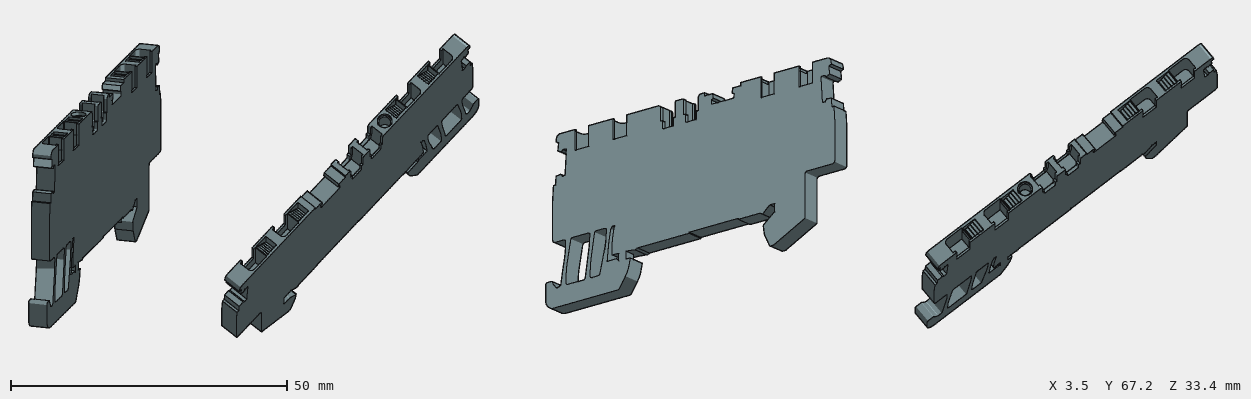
import cadquery as cq
import math


THICKNESS = 3.5
HEIGHT = 33.4
TOTAL_LENGTH = 67.2
HOUSING_HALF = 32.8
HOUSING_BOTTOM = 12.6
RAIL_SEAT = 7.05
FOOT_END = HOUSING_HALF - TOTAL_LENGTH
OVERLAP = 0.7
STEP_DEPTH = 1.3

NOTCH_CENTRE = 6.7
NOTCH_LEDGE_HALF = 4.15
NOTCH_LEDGE_DEPTH = 0.6
NOTCH_MOUTH_HALF = 2.35
NOTCH_NECK_HALF = 2.15
NOTCH_NECK_DEPTH = 1.55
NOTCH_FLOOR_HALF = 2.6
NOTCH_DEPTH = 2.6
NOTCH_CORNER = 0.3

BRIDGE_CENTRES = (-0.64, -6.0)
BRIDGE_HALF = 1.7
BRIDGE_FLOOR_HALF = 1.3
BRIDGE_SHOULDER_DEPTH = 3.1
BRIDGE_DEPTH = 4.7
BRIDGE_CORNER = 0.3
BRIDGE_RECESS = 0.4
BRIDGE_FLOOR_RECESS = 0.2
BRIDGE_NEAR_RIM = 0.4
BRIDGE_FAR_RIM = 0.7
POST_TOP_RADII = (0.7, 0.3, 0.3, 0.6)

WIRE_STARTS = (15.05, 23.9)
WIRE_LENGTH = 4.15
WIRE_DEPTH = 6.7
WIRE_WALL = 0.4
WIRE_CORNER = 0.8
WIRE_OPENING_MARGIN = 0.55
WIRE_OPENING_DEPTH = 4.0
CLAMP_LENGTH = 2.75
CLAMP_GAP = 0.15
CLAMP_WALL = 0.55
CLAMP_STEPS = 5
CLAMP_STEP_HEIGHT = 0.5

TEST_HOLE_Y = -10.35
TEST_HOLE_RADIUS = 1.1
TEST_HOLE_DEPTH = 4.0
TEST_MOUTH_RADIUS = 1.35
TEST_MOUTH_DEPTH = 0.7

LEG_WINDOW_EDGES = (
    ((-20.2, -20.4, -21.8), (-23.0, -23.9, -24.1)),
    ((-24.05, -24.3, -25.25), (-28.5, -29.55, -29.7)),
)
WINDOW_FLOOR = 3.8
WINDOW_CORNER = 0.5
LEG_BEND = 16.8


def rounded_prism(corners, start=0.0, end=THICKNESS):
    """Extrude along X a closed outline of (y, z) or (y, z, corner radius)."""
    count = len(corners)
    path = []
    for i, corner in enumerate(corners):
        here = cq.Vector(corner[0], corner[1])
        if len(corner) < 3:
            path.append((here,))
            continue
        radius = corner[2]
        before = cq.Vector(*corners[i - 1][:2])
        after = cq.Vector(*corners[(i + 1) % count][:2])
        to_before = (before - here).normalized()
        to_after = (after - here).normalized()
        half_angle = to_before.getAngle(to_after) / 2
        setback = radius / math.tan(half_angle)
        bulge = radius / math.sin(half_angle) - radius
        middle = here + (to_before + to_after).normalized() * bulge
        path.append((here + to_before * setback, middle, here + to_after * setback))
    sketch = cq.Workplane("YZ", origin=(start, 0, 0)).moveTo(path[0][-1].x, path[0][-1].y)
    for stop in path[1:] + path[:1]:
        sketch = sketch.lineTo(stop[0].x, stop[0].y)
        if len(stop) == 3:
            sketch = sketch.threePointArc(stop[1].toTuple()[:2], stop[2].toTuple()[:2])
    return sketch.close().extrude(end - start)


def box(x_range, y_range, z_range):
    size = [high - low for low, high in (x_range, y_range, z_range)]
    corner = (x_range[0], y_range[0], z_range[0])
    return cq.Workplane("XY", origin=corner).box(*size, centered=False)


def housing():
    """Symmetric upper body with a latch groove in each end."""
    end = [
        (31.85, HEIGHT, 0.95),
        (32.0, 32.0),
        (31.4, 31.7),
        (31.6, 30.15),
        (30.7, 29.75),
        (30.35, 30.15),
        (29.55, 30.15, 0.3),
        (29.9, 25.1),
        (30.5, 25.0),
        (30.9, 25.5),
        (32.0, 25.4),
        (32.1, 23.7),
        (32.6, 23.7),
        (HOUSING_HALF, 20.8),
        (HOUSING_HALF, HOUSING_BOTTOM, 0.6),
    ]
    other_end = [(-corner[0],) + corner[1:] for corner in reversed(end)]
    return rounded_prism(end + other_end)


def rail_block():
    """Lower middle of the block with the fixed rail hook at its +Y end."""
    leg = 25.85
    seat_relief = (10.35, -1.1)
    relief_top = 7.25
    block = rounded_prism([
        (leg + 2 * OVERLAP, HOUSING_BOTTOM + OVERLAP),
        (leg + 2 * OVERLAP, HOUSING_BOTTOM),
        (leg, HOUSING_BOTTOM, 0.505),
        (leg, 3.6, 0.3),
        (18.55, 0.15, 0.35),
        (17.65, 0.15, 0.3),
        (16.4, 2.7),
        (16.1, 4.6, 0.4),
        (18.75, 6.5),
        (18.75, 8.1),
        (17.65, 8.1),
        (16.0, 6.7),
        (15.45, RAIL_SEAT),
        (seat_relief[0], RAIL_SEAT),
        (seat_relief[0], relief_top),
        (seat_relief[1], relief_top),
        (seat_relief[1], RAIL_SEAT),
        (-13.0, RAIL_SEAT),
        (-13.6, 6.8),
        (-14.1, 6.9),
        (-15.7, RAIL_SEAT),
        (-19.0, RAIL_SEAT, 0.2),
        (-19.0, 9.4, LEG_BEND),
        (-18.4, HOUSING_BOTTOM),
        (-18.4, HOUSING_BOTTOM + OVERLAP),
    ])
    hook_step = rounded_prism([
        (19.6, 8.1, 0.2),
        (19.6, 5.45, 0.3),
        (18.0, 5.45, 0.35),
        (16.25, 4.1),
        (15.7, 4.7),
        (17.65, 8.1),
    ], end=STEP_DEPTH)
    return block.cut(hook_step)


def clip_foot():
    """Sprung foot hanging on three slanted legs, with a tie to the rail block."""
    tie_span = (-17.45, -15.7)
    tie_bottom = 5.05
    foot = rounded_prism([
        (-18.9, HOUSING_BOTTOM + OVERLAP),
        (-18.9, HOUSING_BOTTOM),
        (-19.3, 12.1, 0.35),
        (-19.75, 9.4, LEG_BEND),
        (-20.1, 6.1),
        (-17.9, 6.1),
        (-17.45, 5.65),
        (-14.7, 5.5),
        (-15.25, 3.1, 5.4),
        (-17.4, 0.0, 0.55),
        (FOOT_END, 0.0, 1.9),
        (FOOT_END, 5.3, 0.5),
        (-32.85, 5.3, 0.3),
        (-32.65, 4.7, 0.35),
        (-31.85, 3.7, 0.5),
        (-30.9, 3.95, 0.55),
        (-30.5, 6.5),
        (-29.75, 10.4, LEG_BEND),
        (-29.75, HOUSING_BOTTOM, 0.5),
        (-30.9, HOUSING_BOTTOM),
        (-30.9, HOUSING_BOTTOM + OVERLAP),
    ])
    tie = box((STEP_DEPTH, THICKNESS), tie_span, (tie_bottom, RAIL_SEAT + OVERLAP))
    return foot.union(tie)


def leg_window(inner_edge, outer_edge):
    """Window between two legs; each edge is its y at the top, its bend and the floor."""
    inner_top, inner_bend, inner_floor = inner_edge
    outer_top, outer_bend, outer_floor = outer_edge
    inner_bend_height = 9.8
    outer_bend_height = 7.05
    return rounded_prism([
        (inner_top, HOUSING_BOTTOM, WINDOW_CORNER),
        (inner_bend, inner_bend_height, LEG_BEND),
        (inner_floor, WINDOW_FLOOR, WINDOW_CORNER),
        (outer_floor, WINDOW_FLOOR, WINDOW_CORNER),
        (outer_bend, outer_bend_height, LEG_BEND),
        (outer_top, HOUSING_BOTTOM, WINDOW_CORNER),
    ])


def symmetric_slot(centre, half, start=0.0, end=THICKNESS):
    """Slot along X from the outline of its half, listed from the top down to the floor."""
    one_side = [(centre + c[0],) + c[1:] for c in half]
    other_side = [(centre - c[0],) + c[1:] for c in reversed(half)]
    return rounded_prism(one_side + other_side, start, end)


def marking_notch():
    return symmetric_slot(NOTCH_CENTRE, [
        (NOTCH_LEDGE_HALF, HEIGHT + OVERLAP),
        (NOTCH_LEDGE_HALF, HEIGHT - NOTCH_LEDGE_DEPTH),
        (NOTCH_MOUTH_HALF, HEIGHT - NOTCH_LEDGE_DEPTH),
        (NOTCH_NECK_HALF, HEIGHT - NOTCH_NECK_DEPTH),
        (NOTCH_FLOOR_HALF, HEIGHT - NOTCH_NECK_DEPTH - NOTCH_CORNER),
        (NOTCH_FLOOR_HALF, HEIGHT - NOTCH_DEPTH, NOTCH_CORNER),
    ])


def bridge_slot(centre):
    """Slot through the full thickness with a shoulder part way down."""
    return symmetric_slot(centre, [
        (BRIDGE_HALF, HEIGHT + OVERLAP),
        (BRIDGE_HALF, HEIGHT - BRIDGE_SHOULDER_DEPTH),
        (BRIDGE_FLOOR_HALF, HEIGHT - BRIDGE_SHOULDER_DEPTH),
        (BRIDGE_FLOOR_HALF, HEIGHT - BRIDGE_DEPTH, BRIDGE_CORNER),
    ])


def bridge_recess(centre):
    """Tapered widening of a bridge slot that leaves a rim at both X faces."""
    half = [
        (BRIDGE_HALF + BRIDGE_RECESS, HEIGHT + OVERLAP),
        (BRIDGE_HALF + BRIDGE_RECESS, HEIGHT - BRIDGE_SHOULDER_DEPTH),
        (BRIDGE_HALF, HEIGHT - BRIDGE_DEPTH - BRIDGE_FLOOR_RECESS),
    ]
    return symmetric_slot(centre, half, BRIDGE_NEAR_RIM, THICKNESS - BRIDGE_FAR_RIM)


def round_post_tops(body):
    """Round the top edges beside the bridge slots, from +Y to -Y."""
    edges_y = [centre + side * BRIDGE_HALF for centre in BRIDGE_CENTRES for side in (1, -1)]
    reach = 0.1
    for edge_y, radius in zip(edges_y, POST_TOP_RADII):
        edge_zone = cq.selectors.BoxSelector(
            (-reach, edge_y - reach, HEIGHT - reach),
            (THICKNESS + reach, edge_y + reach, HEIGHT + reach),
        )
        body = body.edges(edge_zone).fillet(radius)
    return body


def wire_entry(start):
    """Wire pocket of the +Y half, opened through the +X face near the top."""
    y_range = (start, start + WIRE_LENGTH)
    pocket = box((WIRE_WALL, THICKNESS - WIRE_WALL), y_range, (HEIGHT - WIRE_DEPTH, HEIGHT))
    pocket = pocket.edges("|Z and <X and >Y").fillet(WIRE_CORNER)
    opening_range = (y_range[0] + WIRE_OPENING_MARGIN, y_range[1] - WIRE_OPENING_MARGIN)
    opening = box((THICKNESS / 2, THICKNESS), opening_range, (HEIGHT - WIRE_OPENING_DEPTH, HEIGHT))
    return pocket.union(opening)


def clamp_opening(high_end):
    """Opening whose floor steps down from its +Y end to its -Y end."""
    low_end = high_end - CLAMP_LENGTH
    opening = None
    for step in range(1, CLAMP_STEPS + 1):
        step_end = high_end - (step - 1) * CLAMP_LENGTH / CLAMP_STEPS
        floor = HEIGHT - step * CLAMP_STEP_HEIGHT
        tread = box((CLAMP_WALL, THICKNESS - WIRE_WALL), (low_end, step_end), (floor, HEIGHT))
        opening = tread if opening is None else opening.union(tread)
    return opening


def test_hole():
    top = cq.Workplane("XY", origin=(THICKNESS / 2, TEST_HOLE_Y, HEIGHT))
    bore = top.circle(TEST_HOLE_RADIUS).extrude(-TEST_HOLE_DEPTH)
    mouth = top.circle(TEST_MOUTH_RADIUS).extrude(-TEST_MOUTH_DEPTH)
    return bore.union(mouth)


result = housing().union(rail_block()).union(clip_foot())
for inner_leg_edge, outer_leg_edge in LEG_WINDOW_EDGES:
    result = result.cut(leg_window(inner_leg_edge, outer_leg_edge))
result = result.cut(marking_notch())

for slot_centre in BRIDGE_CENTRES:
    result = result.cut(bridge_slot(slot_centre))
result = round_post_tops(result)
for slot_centre in BRIDGE_CENTRES:
    result = result.cut(bridge_recess(slot_centre))

for wire_start in WIRE_STARTS:
    entry = wire_entry(wire_start)
    result = result.cut(entry).cut(entry.mirror("XZ"))
    clamp_outer = wire_start - CLAMP_GAP
    clamp_inner = clamp_outer - CLAMP_LENGTH
    for clamp_high_end in (clamp_outer, -clamp_inner):
        result = result.cut(clamp_opening(clamp_high_end))

result = result.cut(test_hole())